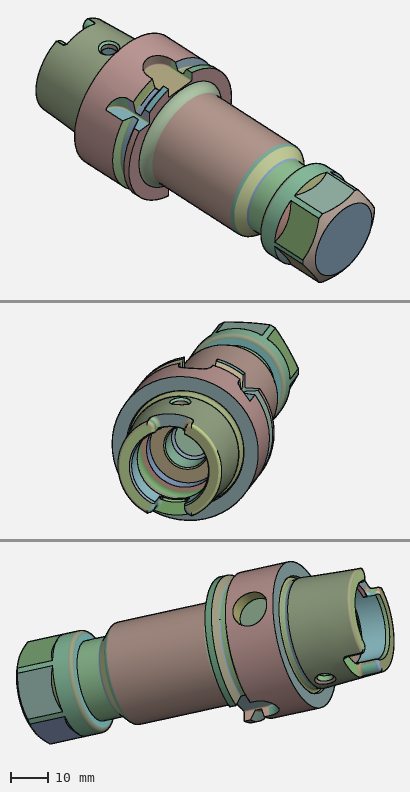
import cadquery as cq
import math


shank_length = 20.0
shank_big_radius = 15.15
shank_small_radius = 14.2
shank_end_fillet = 0.7
taper_end_x = -2.1
neck_radius = 14.85
neck_start_x = -1.35
neck_start_fillet = 0.8
neck_root_fillet = 1.0
relief_radius = 16.1
relief_depth = 0.75

mouth_radius = 10.5
mouth_chamfer = 0.4
mouth_chamfer_length = 1.0
mouth_land_length = 8.0
undercut_radius = 12.75
undercut_angle = 60.0
undercut_length = 17.2
undercut_fillet = 1.5
inner_bore_radius = 9.95
inner_bore_floor_x = 1.5
tube_hole_radius = 5.8
tube_hole_chamfer = 0.4
tube_hole_depth = 8.0
tube_hole_floor_radius = 5.0

key_half_width = 4.05
key_flare_radius = 2.0
key_flare_z = 12.75
key_floor_fillet = 1.0
key_mouth_fillet = 0.9
upper_key_depth = 3.55
lower_key_depth = 6.0

cross_hole_x = -6.1
cross_hole_radius = 2.2
cross_hole_chamfer = 0.65

flange_radius = 20.0
flange_width = 20.0
groove_radius = 17.5
groove_fillet = 0.35
groove_start_x = 14.0
groove_floor_start_x = 14.85
groove_floor_end_x = 16.7
groove_end_x = 18.1

slot_start_x = 8.0
slot_half_width = 4.5
slot_floor_z = 16.5
cutout_floor_fillet = 0.35
notch_start_x = 7.7
notch_offset = 11.95
chip_hole_x = 6.8
chip_hole_radius = 5.0
chip_hole_depth = 4.6

body_radius = 14.0
root_fillet_radius = 3.2
root_fillet_length = 3.0
root_fillet_height = root_fillet_radius - math.sqrt(root_fillet_radius**2 - root_fillet_length**2)
nose_radius = 11.0
body_end_x = 52.28
body_end_fillet = 1.4
cone_end_x = body_end_x + body_radius - nose_radius
nose_root_fillet = 0.8
nose_end_x = 73.0

nut_start_x = 62.0
nut_end_x = 79.9
nut_radius = 14.0
nut_edge_fillet = 1.2
hex_start_x = 67.8
hex_across_flats = 25.0
nut_end_radius = 11.0
nut_end_chamfer_length = 1.8

margin = 0.01


def revolve_about_x(profile):
    return profile.close().revolve(360, (0, 0, 0), (1, 0, 0))


def circles_at(x):
    """Selects the edges that lie in the plane across the axis at x."""
    reach = flange_radius + margin
    return cq.selectors.BoxSelector(
        (x - margin, -reach, -reach), (x + margin, reach, reach), boundingbox=True
    )


def make_outer_shape():
    """Shank, flange, body and nose as one turned shape."""
    profile = (
        cq.Workplane("XY")
        .moveTo(-shank_length, 0)
        .lineTo(-shank_length, shank_small_radius - shank_end_fillet)
        .radiusArc((-shank_length + shank_end_fillet, shank_small_radius), shank_end_fillet)
        .lineTo(taper_end_x, shank_big_radius)
        .lineTo(neck_start_x, neck_radius)
        .lineTo(relief_depth - neck_root_fillet, neck_radius)
        .radiusArc((relief_depth, neck_radius + neck_root_fillet), -neck_root_fillet)
        .lineTo(0, relief_radius)
        .lineTo(0, flange_radius)
        .lineTo(groove_start_x, flange_radius)
        .lineTo(groove_floor_start_x, groove_radius)
        .lineTo(groove_floor_end_x, groove_radius)
        .lineTo(groove_end_x, flange_radius)
        .lineTo(flange_width, flange_radius)
        .lineTo(flange_width, body_radius + root_fillet_height)
        .radiusArc((flange_width + root_fillet_length, body_radius), -root_fillet_radius)
        .lineTo(body_end_x, body_radius)
        .lineTo(cone_end_x, nose_radius)
        .lineTo(nose_end_x, nose_radius)
        .lineTo(nose_end_x, 0)
    )
    shape = revolve_about_x(profile)
    for x, radius in (
        (neck_start_x, neck_start_fillet),
        (groove_floor_start_x, groove_fillet),
        (groove_floor_end_x, groove_fillet),
        (body_end_x, body_end_fillet),
        (cone_end_x, nose_root_fillet),
    ):
        shape = shape.edges(circles_at(x)).fillet(radius)
    return shape


def make_cavity():
    """Stepped and undercut bore inside the shank, with the coolant tube hole at its bottom."""
    land_end_x = -shank_length + mouth_land_length
    rise = undercut_radius - mouth_radius
    undercut_start_x = land_end_x + rise / math.tan(math.radians(undercut_angle))
    undercut_end_x = -shank_length + undercut_length
    tube_hole_mouth_radius = tube_hole_radius + tube_hole_chamfer
    tube_hole_end_x = inner_bore_floor_x + tube_hole_depth
    tube_hole_floor_x = tube_hole_end_x + tube_hole_radius - tube_hole_floor_radius
    profile = (
        cq.Workplane("XY")
        .moveTo(-shank_length, 0)
        .lineTo(-shank_length, mouth_radius + mouth_chamfer)
        .lineTo(-shank_length + mouth_chamfer_length, mouth_radius)
        .lineTo(land_end_x, mouth_radius)
        .lineTo(undercut_start_x, undercut_radius)
        .lineTo(undercut_end_x - undercut_fillet, undercut_radius)
        .radiusArc((undercut_end_x, undercut_radius - undercut_fillet), undercut_fillet)
        .lineTo(undercut_end_x, inner_bore_radius)
        .lineTo(inner_bore_floor_x, inner_bore_radius)
        .lineTo(inner_bore_floor_x, tube_hole_mouth_radius)
        .lineTo(inner_bore_floor_x + tube_hole_chamfer, tube_hole_radius)
        .lineTo(tube_hole_end_x, tube_hole_radius)
        .lineTo(tube_hole_floor_x, tube_hole_floor_radius)
        .lineTo(tube_hole_floor_x, 0)
    )
    return revolve_about_x(profile)


def make_key_slot(depth, side):
    """Cutter for a slot in the +Z (side 1) or -Z (side -1) rim, with flaring walls and a rounded mouth."""
    flare_half_width = key_half_width + key_flare_radius
    flare_start_z = key_flare_z - key_flare_radius
    top_z = shank_big_radius + key_mouth_fillet
    slot = (
        cq.Workplane("YZ", origin=(-shank_length, 0, 0))
        .moveTo(-key_half_width, 0)
        .lineTo(key_half_width, 0)
        .lineTo(key_half_width, flare_start_z)
        .radiusArc((flare_half_width, key_flare_z), key_flare_radius)
        .lineTo(flare_half_width, top_z)
        .lineTo(-flare_half_width, top_z)
        .lineTo(-flare_half_width, key_flare_z)
        .radiusArc((-key_half_width, flare_start_z), key_flare_radius)
        .close()
        .extrude(depth)
        .faces(">X").edges().fillet(key_floor_fillet)
    )
    block = (
        cq.Workplane("XY")
        .box(2 * depth, 2 * shank_big_radius, top_z, centered=(False, True, False))
        .translate((-shank_length, 0, 0))
    )
    mouth_edges = cq.selectors.BoxSelector(
        (-shank_length - margin, -flare_half_width - margin, -margin),
        (-shank_length + margin, flare_half_width + margin, key_flare_z + margin),
        boundingbox=True,
    )
    rounded_block = block.cut(slot).edges(mouth_edges).fillet(key_mouth_fillet)
    cutter = block.cut(rounded_block)

    floor_x = -shank_length + depth
    floor_chamfer = revolve_about_x(
        cq.Workplane("XY")
        .moveTo(floor_x, 0)
        .lineTo(floor_x, mouth_radius + mouth_chamfer)
        .lineTo(floor_x + mouth_chamfer_length, mouth_radius)
        .lineTo(floor_x + mouth_chamfer_length, 0)
    )
    slot_width_block = (
        cq.Workplane("XY")
        .box(2 * shank_length, 2 * key_half_width, top_z, centered=(True, True, False))
        .translate((floor_x, 0, 0))
    )
    cutter = cutter.union(floor_chamfer.intersect(slot_width_block))
    return cutter if side > 0 else cutter.mirror("XY")


def drill_cross_hole(holder):
    """Through hole along Z, chamfered where it leaves the shank on each side."""
    hole = (
        cq.Workplane("XY")
        .center(cross_hole_x, 0)
        .circle(cross_hole_radius)
        .extrude(flange_radius, both=True)
    )
    holder = holder.cut(hole)
    reach = cross_hole_radius + margin
    for side in (1, -1):
        rim = cq.selectors.BoxSelector(
            (cross_hole_x - reach, -reach, side * (undercut_radius + shank_big_radius) / 2),
            (cross_hole_x + reach, reach, side * flange_radius),
            boundingbox=True,
        )
        holder = holder.edges(rim).chamfer(cross_hole_chamfer)
    return holder


def make_drive_slot(side):
    """Round-ended slot, open at the rear face of the flange; the cutter runs past that face."""
    far_x = flange_width + slot_half_width
    end_center_x = slot_start_x + slot_half_width
    slot = (
        cq.Workplane("XY", origin=(0, 0, slot_floor_z))
        .moveTo(end_center_x, slot_half_width)
        .lineTo(far_x, slot_half_width)
        .lineTo(far_x, -slot_half_width)
        .lineTo(end_center_x, -slot_half_width)
        .threePointArc((slot_start_x, 0), (end_center_x, slot_half_width))
        .close()
        .extrude(flange_radius - slot_floor_z)
        .faces("<Z").edges().fillet(cutout_floor_fillet)
    )
    return slot if side > 0 else slot.mirror("XY")


def make_notch():
    """Square-cornered notch in the -Y, +Z quarter of the flange, for orientation."""
    return (
        cq.Workplane("XY")
        .box(flange_width - notch_start_x, flange_radius, flange_radius, centered=False)
        .edges("|Z and <X and >Y").fillet(slot_half_width)
        .faces("<Z").edges(">Y").fillet(cutout_floor_fillet)
        .translate((notch_start_x, -notch_offset - flange_radius, notch_offset))
    )


def make_chip_hole():
    """Blind round hole for a data chip, on the +Y side of the flange."""
    return (
        cq.Workplane("XZ", origin=(chip_hole_x, flange_radius, 0))
        .circle(chip_hole_radius)
        .extrude(chip_hole_depth)
    )


def make_holder():
    holder = make_outer_shape().cut(make_cavity())
    holder = holder.cut(make_key_slot(upper_key_depth, 1))
    holder = holder.cut(make_key_slot(lower_key_depth, -1))
    holder = drill_cross_hole(holder)
    for side in (1, -1):
        holder = holder.cut(make_drive_slot(side))
    return holder.cut(make_notch()).cut(make_chip_hole())


def make_nut():
    """Round collar running into a hexagon, with a blind recess that takes the holder's nose."""
    hex_across_corners = hex_across_flats / math.cos(math.pi / 6)
    bevel = nut_radius - nose_radius
    collar = revolve_about_x(
        cq.Workplane("XY")
        .moveTo(nut_start_x, 0)
        .lineTo(nut_start_x, nut_radius - nut_edge_fillet)
        .radiusArc((nut_start_x + nut_edge_fillet, nut_radius), nut_edge_fillet)
        .lineTo(hex_start_x, nut_radius)
        .lineTo(hex_start_x + bevel, nose_radius)
        .lineTo(hex_start_x + bevel, 0)
    )
    hexagon = (
        cq.Workplane("YZ", origin=(hex_start_x, 0, 0))
        .polygon(6, hex_across_corners)
        .extrude(nut_end_x - hex_start_x)
    )
    turned_limit = revolve_about_x(
        cq.Workplane("XY")
        .moveTo(hex_start_x, 0)
        .lineTo(hex_start_x, nut_radius)
        .lineTo(nut_end_x - nut_end_chamfer_length, nut_radius)
        .lineTo(nut_end_x, nut_end_radius)
        .lineTo(nut_end_x, 0)
    )
    recess = (
        cq.Workplane("YZ", origin=(nut_start_x, 0, 0))
        .circle(nose_radius)
        .extrude(nose_end_x - nut_start_x)
    )
    return collar.union(hexagon.intersect(turned_limit)).cut(recess)


holder = make_holder()
nut = make_nut()
result = cq.Compound.makeCompound([holder.val(), nut.val()])